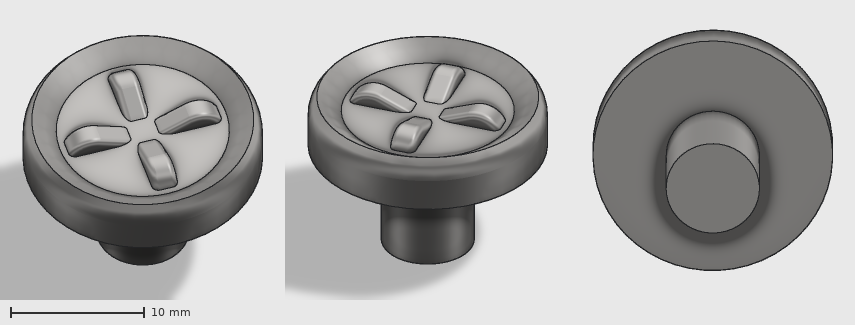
import cadquery as cq
import math

stem_diameter = 7.0
stem_length = 8.5
head_diameter = 18.0
head_height = 4.2
head_side_height = 2.5
shoulder_radius = 2.5

dish_depth = 1.2
dish_floor_diameter = 13.0

rib_count = 4
rib_width = 2.0
rib_inner_end = 1.1
rib_crest_start = 3.5
rib_outer_end = 6.0
rib_crest_start_height = 0.98
rib_edge_fillet = 0.5

top_z = stem_length + head_height
shoulder_z = stem_length + head_side_height
dish_floor_z = top_z - dish_depth
head_radius = head_diameter / 2


def shoulder_point(z):
    """Point (radius, z) on the shoulder arc, which is tangent to the head side."""
    rise = z - shoulder_z
    inset = shoulder_radius - math.sqrt(shoulder_radius**2 - rise**2)
    return (head_radius - inset, z)


def make_body():
    """Stem, head with rounded shoulder, and dish as one turned profile."""
    return (
        cq.Workplane("XZ")
        .lineTo(stem_diameter / 2, 0)
        .lineTo(stem_diameter / 2, stem_length)
        .lineTo(head_radius, stem_length)
        .lineTo(head_radius, shoulder_z)
        .threePointArc(shoulder_point((shoulder_z + top_z) / 2), shoulder_point(top_z))
        .lineTo(dish_floor_diameter / 2, dish_floor_z)
        .lineTo(0, dish_floor_z)
        .close()
        .revolve(360, (0, 0), (0, 1))
    )


def make_rib():
    """Rib along +X: a ramp running tangentially into a rounded crest, with rounded upper edges."""
    rib = (
        cq.Workplane("XZ", origin=(0, 0, dish_floor_z))
        .moveTo(rib_inner_end, 0)
        .lineTo(rib_crest_start, rib_crest_start_height)
        .tangentArcPoint((rib_outer_end, 0), relative=False)
        .close()
        .extrude(rib_width / 2, both=True)
    )
    upper_side_edges = rib.faces("<Y or >Y").edges("not <Z")
    return rib.newObject(upper_side_edges.vals()).fillet(rib_edge_fillet)


result = make_body()
rib = make_rib()
for index in range(rib_count):
    angle = index * 360 / rib_count
    result = result.union(rib.rotate((0, 0, 0), (0, 0, 1), angle))